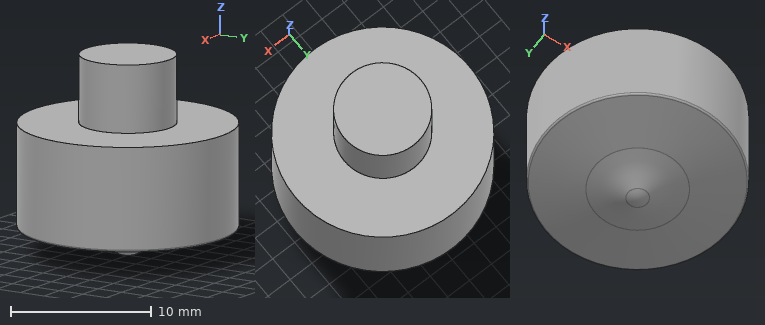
import cadquery as cq
import math

body_diameter = 15.88
pin_diameter = 7.0
total_height = 14.74
pin_height = 5.0

tip_radius = 1.75
blend_radius = 9.69
edge_radius = 0.16
tip_angle = 29.0
cone_angle = 11.0

body_radius = body_diameter / 2
pin_radius = pin_diameter / 2
shoulder_z = total_height - pin_height


def point_on_arc(center, radius, angle):
    """Point (r, z) at an angle in degrees, measured from straight down toward the outside."""
    turn = math.radians(angle)
    return (center[0] + radius * math.sin(turn), center[1] - radius * math.cos(turn))


tip_center = (0, tip_radius)
tip_end = point_on_arc(tip_center, tip_radius, tip_angle)
tip_middle = point_on_arc(tip_center, tip_radius, tip_angle / 2)

blend_center = point_on_arc(tip_end, blend_radius, tip_angle)
blend_end = point_on_arc(blend_center, -blend_radius, cone_angle)
blend_middle = point_on_arc(blend_center, -blend_radius, (tip_angle + cone_angle) / 2)

cone_turn = math.radians(cone_angle)
cone_end_radius = body_radius - edge_radius * (1 - math.sin(cone_turn))
cone_end_z = blend_end[1] + (cone_end_radius - blend_end[0]) * math.tan(cone_turn)
edge_center = (body_radius - edge_radius, cone_end_z + edge_radius * math.cos(cone_turn))
edge_middle = point_on_arc(edge_center, edge_radius, (cone_angle + 90) / 2)
edge_end = point_on_arc(edge_center, edge_radius, 90)

half_section = (
    cq.Workplane("XZ")
    .moveTo(0, 0)
    .threePointArc(tip_middle, tip_end)
    .threePointArc(blend_middle, blend_end)
    .lineTo(cone_end_radius, cone_end_z)
    .threePointArc(edge_middle, edge_end)
    .lineTo(body_radius, shoulder_z)
    .lineTo(pin_radius, shoulder_z)
    .lineTo(pin_radius, total_height)
    .lineTo(0, total_height)
    .close()
)
result = half_section.revolve(360, (0, 0, 0), (0, 1, 0))